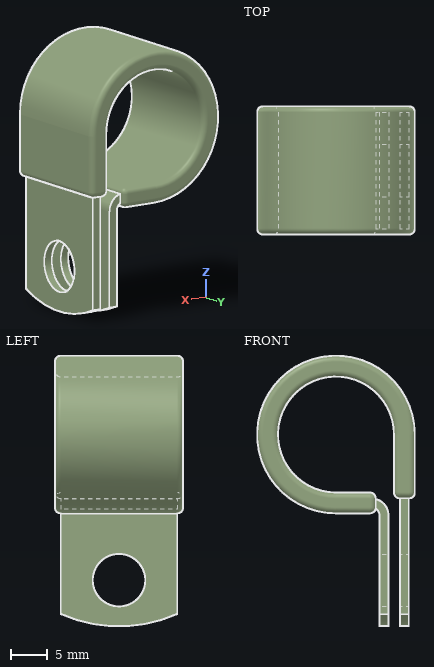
import cadquery as cq
import math

overall_height = 36.85
cushion_width = 17.47
loop_outer_radius = 10.745
strap_thickness = 1.25
cushion_cover = 0.8
cushion_leg_drop = 8.7
cushion_foot_reach = 5.4
tab_gap = 1.5
bend_inner_radius = 1.1
hole_diameter = 7.1
hole_height = 6.3
tab_end_rise = 1.7

cushion_thickness = strap_thickness + 2 * cushion_cover
strap_width = cushion_width - 2 * cushion_cover
strap_outer_radius = loop_outer_radius - cushion_cover
strap_inner_radius = strap_outer_radius - strap_thickness
bend_outer_radius = bend_inner_radius + strap_thickness
bend_x = strap_inner_radius - tab_gap - bend_outer_radius
bend_z = -strap_inner_radius - bend_outer_radius
tab_bottom = loop_outer_radius - overall_height


def extrude_centred(profile, width):
    """Extrude an XZ profile equally to both sides of the Y = 0 plane."""
    return profile.extrude(width / 2, both=True)


def cushion():
    """Cushion around the loop and its two straight ends, with all outer edges rounded."""
    outer = loop_outer_radius
    inner = outer - cushion_thickness
    diagonal = math.sqrt(0.5)
    profile = (
        cq.Workplane("XZ")
        .moveTo(outer, -cushion_leg_drop)
        .lineTo(outer, 0)
        .threePointArc((-outer * diagonal, outer * diagonal), (0, -outer))
        .lineTo(cushion_foot_reach, -outer)
        .lineTo(cushion_foot_reach, -inner)
        .lineTo(0, -inner)
        .threePointArc((-inner * diagonal, inner * diagonal), (inner, 0))
        .lineTo(inner, -cushion_leg_drop)
        .close()
    )
    body = extrude_centred(profile, cushion_width)
    corners = [
        edge
        for edge in body.edges("|Y").vals()
        if math.isclose(edge.Center().z, -cushion_leg_drop)
        or math.isclose(edge.Center().x, cushion_foot_reach)
    ]
    side_edges = body.faces("<Y or >Y").edges().vals()
    return body.newObject(side_edges + corners).fillet(cushion_cover)


def leg_tab():
    """Strap tab continuing straight down from the cushion leg."""
    profile = (
        cq.Workplane("XZ")
        .moveTo(strap_inner_radius, 0)
        .lineTo(strap_outer_radius, 0)
        .lineTo(strap_outer_radius, tab_bottom)
        .lineTo(strap_inner_radius, tab_bottom)
        .close()
    )
    return extrude_centred(profile, strap_width)


def bent_tab():
    """Strap tab leaving the cushion foot and bending down beside the other tab."""
    profile = (
        cq.Workplane("XZ")
        .moveTo(0, -strap_inner_radius)
        .lineTo(bend_x, -strap_inner_radius)
        .radiusArc((bend_x + bend_outer_radius, bend_z), bend_outer_radius)
        .lineTo(bend_x + bend_outer_radius, tab_bottom)
        .lineTo(bend_x + bend_inner_radius, tab_bottom)
        .lineTo(bend_x + bend_inner_radius, bend_z)
        .radiusArc((bend_x, -strap_outer_radius), -bend_inner_radius)
        .lineTo(0, -strap_outer_radius)
        .close()
    )
    return extrude_centred(profile, strap_width)


def tab_outline():
    """Block along X that trims both tabs to the rounded end."""
    half_width = strap_width / 2
    shoulder = tab_bottom + tab_end_rise
    profile = (
        cq.Workplane("YZ")
        .moveTo(-half_width, 0)
        .lineTo(-half_width, shoulder)
        .threePointArc((0, tab_bottom), (half_width, shoulder))
        .lineTo(half_width, 0)
        .close()
    )
    return profile.extrude(loop_outer_radius)


def bolt_hole():
    """Cylinder along X through both tabs."""
    return (
        cq.Workplane("YZ")
        .center(0, tab_bottom + hole_height)
        .circle(hole_diameter / 2)
        .extrude(loop_outer_radius)
    )


tabs = leg_tab().union(bent_tab()).intersect(tab_outline()).cut(bolt_hole())
result = cushion().union(tabs)